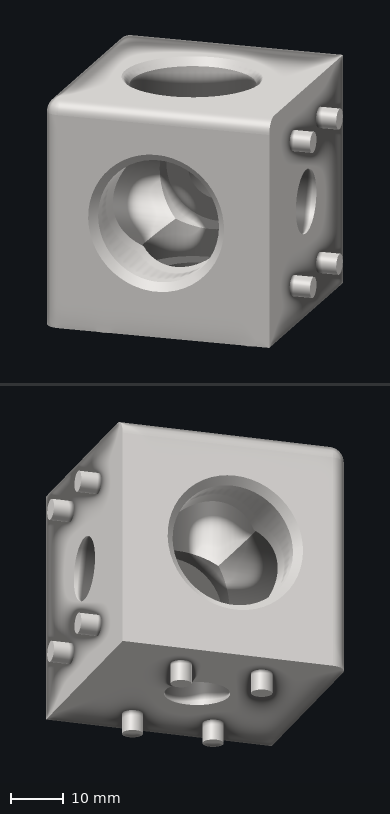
import cadquery as cq

overall = 49.0
pin_length = 4.0
pin_diameter = 4.0
pin_offset_near = 8.05
pin_offset_far = 14.3
edge_radius = 3.0
mouth_diameter = 27.0
bore_diameter = 24.0
pocket_diameter = 21.0
through_diameter = 12.5
floor_past_center = 16.0

cube_side = overall - pin_length
half_side = cube_side / 2
mouth_chamfer = (mouth_diameter - bore_diameter) / 2

open_sides = [
    cq.Plane(origin=(0, 0, 0), xDir=(0, 0, 1), normal=(-1, 0, 0)),
    cq.Plane(origin=(0, 0, 0), xDir=(0, 0, 1), normal=(0, -1, 0)),
    cq.Plane(origin=(0, 0, 0), xDir=(1, 0, 0), normal=(0, 0, 1)),
]


def make_cube():
    """Cube with the three edges between the open sides rounded."""
    cube = cq.Workplane("XY").box(cube_side, cube_side, cube_side)
    left_edges = cube.faces("<X").edges("<Y or >Z")
    front_top_edge = cube.faces("<Y").edges(">Z")
    rounded_edges = left_edges.add(front_top_edge)
    return rounded_edges.fillet(edge_radius)


def cylinder(plane, diameter, start, end):
    """Cylinder along the plane normal between two heights."""
    return cq.Workplane(plane).workplane(offset=start).circle(diameter / 2).extrude(end - start)


def make_stepped_bore(plane):
    """Chamfered bore to the cube centre, narrower pocket beyond it, then a through hole."""
    bore = cylinder(plane, bore_diameter, 0, half_side)
    mouth = (
        cq.Workplane(plane).workplane(offset=half_side - mouth_chamfer)
        .circle(bore_diameter / 2)
        .workplane(offset=mouth_chamfer)
        .circle(mouth_diameter / 2)
        .loft()
    )
    pocket = cylinder(plane, pocket_diameter, -floor_past_center, 0)
    through_hole = cylinder(plane, through_diameter, -half_side, 0)
    return bore.union(mouth).union(pocket).union(through_hole)


def make_pins(plane):
    """Four locating pins on the side opposite an open side."""
    return (
        cq.Workplane(plane).workplane(offset=-half_side - pin_length)
        .rect(2 * pin_offset_far, 2 * pin_offset_near, forConstruction=True)
        .vertices()
        .circle(pin_diameter / 2)
        .extrude(pin_length)
    )


body = make_cube()
for side in open_sides:
    body = body.cut(make_stepped_bore(side))
for side in open_sides:
    body = body.union(make_pins(side))

shift = pin_length / 2
result = body.translate((-shift, -shift, shift))